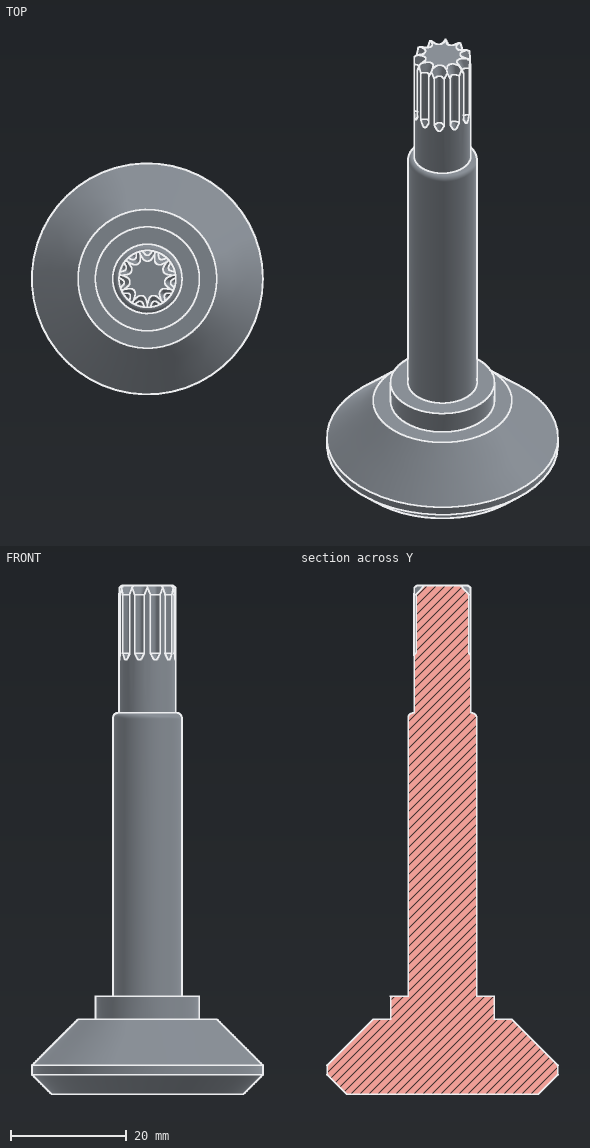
import cadquery as cq
import math

total_height = 88.0

rim_radius = 20.0
lower_bevel = 3.4
rim_top = 5.0
upper_bevel = 8.0
disc_top = rim_top + upper_bevel

collar_radius = 9.0
collar_height = 4.0
collar_top = disc_top + collar_height
shaft_radius = 6.0
shaft_top = 66.0
shaft_rounding = 1.0
neck_radius = 4.92

groove_count = 11
first_groove_angle = 90.0
groove_floor_radius = 4.05
groove_floor_rounding = 0.55
flank_angle = math.radians(38)
top_floor_radius = 3.05
top_floor_rounding = 0.9
top_flank_angle = math.radians(32)
section_outer_radius = 7.0

lead_in_height = 1.6
runout_height = 1.2
groove_bottom = 75.1

runout_depth = neck_radius - groove_floor_radius
lead_in_bottom = total_height - lead_in_height
runout_top = groove_bottom + runout_height


def turned_body():
    """Revolve the base, collar, shaft and neck as one profile."""
    profile = (
        cq.Workplane("XZ")
        .moveTo(0, 0)
        .lineTo(rim_radius - lower_bevel, 0)
        .lineTo(rim_radius, lower_bevel)
        .lineTo(rim_radius, rim_top)
        .lineTo(rim_radius - upper_bevel, disc_top)
        .lineTo(collar_radius, disc_top)
        .lineTo(collar_radius, collar_top)
        .lineTo(shaft_radius, collar_top)
        .lineTo(shaft_radius, shaft_top - shaft_rounding)
        .radiusArc((shaft_radius - shaft_rounding, shaft_top), -shaft_rounding)
        .lineTo(neck_radius, shaft_top)
        .lineTo(neck_radius, total_height)
        .lineTo(0, total_height)
        .close()
    )
    return profile.revolve(360, (0, 0, 0), (0, 1, 0))


def groove_section(z, floor_radius, floor_rounding, half_angle):
    """Outline of one groove along +X at height z: round floor and straight flanks opening outward."""
    arc_centre = floor_radius + floor_rounding
    flank_start = arc_centre - floor_rounding * math.sin(half_angle)
    half_floor = floor_rounding * math.cos(half_angle)
    half_mouth = half_floor + (section_outer_radius - flank_start) * math.tan(half_angle)
    outline = (
        cq.Workplane("XY", origin=(0, 0, z))
        .moveTo(flank_start, half_floor)
        .threePointArc((floor_radius, 0), (flank_start, -half_floor))
        .lineTo(section_outer_radius, -half_mouth)
        .lineTo(section_outer_radius, half_mouth)
        .close()
    )
    return outline.val()


def straight_section(z):
    """Groove outline below the lead-in."""
    return groove_section(z, groove_floor_radius, groove_floor_rounding, flank_angle)


def groove_cutter():
    """One groove: straight run, flared lead-in above and outward runout below."""
    run_path = cq.Vector(0, 0, lead_in_bottom - runout_top)
    straight = cq.Solid.extrudeLinear(straight_section(runout_top), [], run_path)

    runout_path = cq.Vector(runout_depth, 0, -runout_height)
    runout = cq.Solid.extrudeLinear(straight_section(runout_top), [], runout_path)

    top_section = groove_section(total_height, top_floor_radius, top_floor_rounding, top_flank_angle)
    lead_in = cq.Solid.makeLoft([straight_section(lead_in_bottom), top_section], True)
    return cq.Workplane(straight.fuse(lead_in, runout))


def cut_splines(body):
    """Cut the evenly spaced grooves into the neck."""
    cutter = groove_cutter()
    for index in range(groove_count):
        angle = first_groove_angle + index * 360 / groove_count
        body = body.cut(cutter.rotate((0, 0, 0), (0, 0, 1), angle))
    return body


result = cut_splines(turned_body())